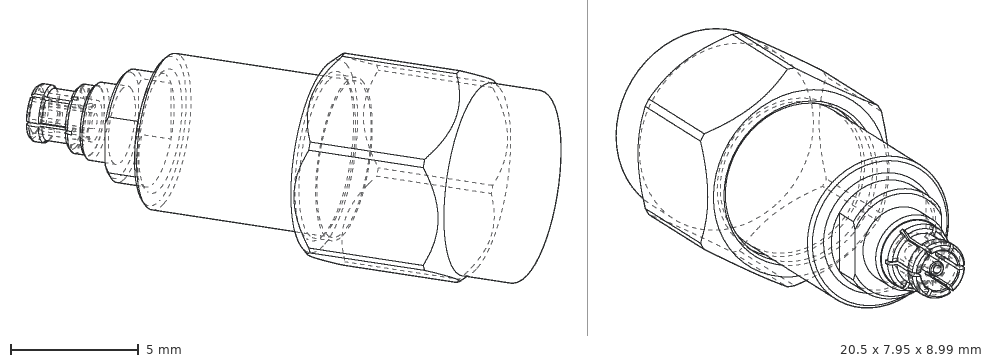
import cadquery as cq
import math

total_length = 20.52

head_diameter = 2.3
head_end_diameter = 2.1
head_front_chamfer = 0.15
head_rear_start = 0.53
neck_start = 0.64
neck_diameter = 2.07
socket_bore_diameter = 1.65
socket_bore_depth = 2.46
socket_mouth_diameter = 1.72
socket_mouth_depth = 0.06
slot_count = 6
slot_width = 0.15
slot_depth = 2.0

pin_diameter = 0.62
pin_tip_x = 0.25
pin_tip_diameter = 0.53
pin_taper_length = 0.06
pin_hole_diameter = 0.33
pin_hole_depth = 0.82

edge_chamfer = 0.15
first_shoulder_x = 1.68
first_shoulder_diameter = 2.75
second_shoulder_x = 2.35
second_shoulder_diameter = 3.1

flange_start = 3.6
flange_end = 4.95
flange_diameter = 4.5
flange_across_flats = 3.8

barrel_start = 5.2
barrel_diameter = 6.2
root_cone_diameter = 4.92

nut_start = 12.0
nut_end = 18.37
nut_across_flats = 7.95
nut_corner_diameter = 8.99
nut_bevel_length = 0.8
collar_diameter = 7.63
collar_end_fillet = 0.18
nut_bore_diameter = 6.46
nut_bore_depth = 0.82
nut_countersink_diameter = 6.7
nut_countersink_depth = 0.12


def cylinder(diameter, start, end):
    """Cylinder along the X axis between two X positions."""
    return cq.Workplane("YZ").workplane(offset=start).circle(diameter / 2).extrude(end - start)


def revolved(stations):
    """Solid of revolution about X from (x, diameter) stations."""
    radii = [(x, diameter / 2) for x, diameter in stations]
    outline = [(radii[0][0], 0)] + radii + [(radii[-1][0], 0)]
    return cq.Workplane("XY").polyline(outline).close().revolve(360, (0, 0, 0), (1, 0, 0))


def chamfered_step(start, diameter, end):
    """Stations of a cylindrical step with a chamfered front edge."""
    return [
        (start, diameter - 2 * edge_chamfer),
        (start + edge_chamfer, diameter),
        (end, diameter),
    ]


def make_body():
    stations = [
        (0, head_end_diameter),
        (head_front_chamfer, head_diameter),
        (head_rear_start, head_diameter),
        (neck_start, neck_diameter),
        (first_shoulder_x, neck_diameter),
    ]
    stations += chamfered_step(first_shoulder_x, first_shoulder_diameter, second_shoulder_x)
    stations += chamfered_step(second_shoulder_x, second_shoulder_diameter, flange_start)
    stations += chamfered_step(flange_start, flange_diameter, flange_end)
    stations.append((barrel_start, root_cone_diameter))
    stations += chamfered_step(barrel_start, barrel_diameter, nut_end)
    return revolved(stations)


def cut_wrench_flats(body):
    flange_length = flange_end - flange_start
    flange_middle = (flange_start + flange_end) / 2
    blank = cylinder(flange_diameter, flange_start, flange_end)
    between_flats = cq.Workplane("XY").box(flange_length, flange_across_flats, flange_diameter)
    return body.cut(blank.cut(between_flats.translate((flange_middle, 0, 0))))


def cut_socket(body):
    bore = revolved([
        (0, socket_mouth_diameter),
        (socket_mouth_depth, socket_bore_diameter),
        (socket_bore_depth, socket_bore_diameter),
    ])
    body = body.cut(bore)
    slot_reach = first_shoulder_diameter
    slot = cq.Workplane("XY").box(slot_depth, slot_reach, slot_width, centered=(False, False, True))
    for index in range(slot_count):
        body = body.cut(slot.rotate((0, 0, 0), (1, 0, 0), index * 360 / slot_count))
    return body


def make_pin():
    pin = revolved([
        (pin_tip_x, pin_tip_diameter),
        (pin_tip_x + pin_taper_length, pin_diameter),
        (socket_bore_depth, pin_diameter),
    ])
    return pin.cut(cylinder(pin_hole_diameter, pin_tip_x, pin_tip_x + pin_hole_depth))


def make_nut():
    hexagon = (
        cq.Workplane("YZ")
        .workplane(offset=nut_start)
        .transformed(rotate=(0, 0, 90))
        .polygon(6, nut_across_flats / math.cos(math.pi / 6))
        .extrude(nut_end - nut_start)
    )
    bevels = revolved([
        (nut_start, collar_diameter),
        (nut_start + nut_bevel_length, nut_corner_diameter),
        (nut_end - nut_bevel_length, nut_corner_diameter),
        (nut_end, collar_diameter),
    ])
    clearance = revolved([
        (nut_start, nut_countersink_diameter),
        (nut_start + nut_countersink_depth, nut_bore_diameter),
        (nut_start + nut_bore_depth, nut_bore_diameter),
    ])
    return hexagon.intersect(bevels).cut(clearance)


def make_collar():
    return cylinder(collar_diameter, nut_end, total_length).faces(">X").edges().fillet(collar_end_fillet)


body = cut_socket(cut_wrench_flats(make_body()))
result = make_nut().union(make_collar()).union(body).union(make_pin())